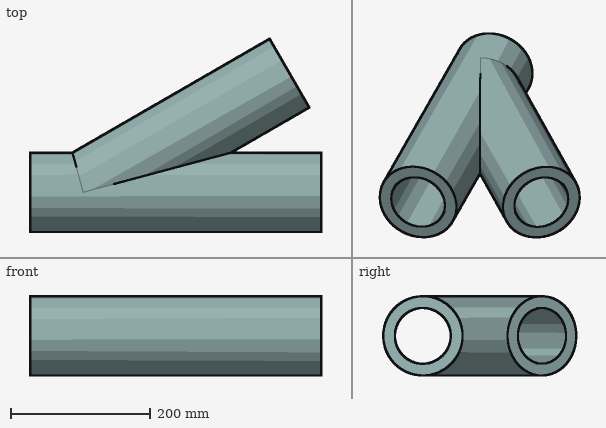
import cadquery as cq
import math

run_length = 419.0
outer_diameter = 114.5
bore_diameter = 80.0
branch_angle = 30.0
branch_position = 76.3
branch_length = run_length - branch_position

branch_direction = (
    math.cos(math.radians(branch_angle)),
    math.sin(math.radians(branch_angle)),
    0,
)
run_plane = cq.Plane(origin=(0, 0, 0), xDir=(0, 0, 1), normal=(1, 0, 0))
branch_plane = cq.Plane(origin=(branch_position, 0, 0), xDir=(0, 0, 1), normal=branch_direction)


def run_and_branch(diameter):
    """Join solid cylinders of one diameter along the run and branch axes."""
    run = cq.Workplane(run_plane).circle(diameter / 2).extrude(run_length)
    branch = cq.Workplane(branch_plane).circle(diameter / 2).extrude(branch_length)
    return run.union(branch)


result = run_and_branch(outer_diameter).cut(run_and_branch(bore_diameter))